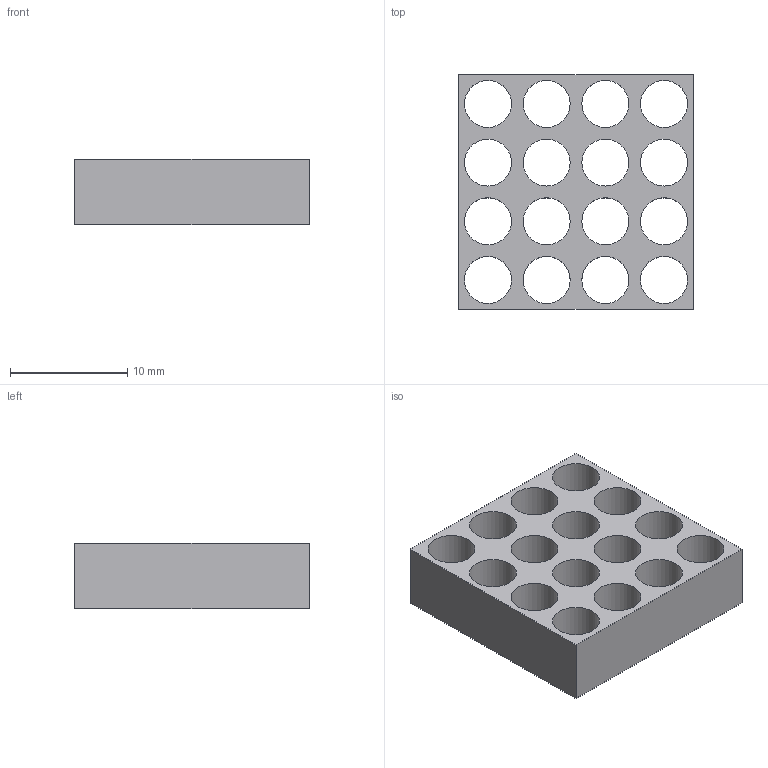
import cadquery as cq

holes_per_side = 4
hole_pitch = 5.0
hole_diameter = 4.0
block_height = 5.6

block_side = holes_per_side * hole_pitch


def make_block():
    """Square block centred on the origin."""
    return cq.Workplane("XY").box(block_side, block_side, block_height)


def cut_hole_grid(block):
    """Cut the square grid of through holes from the top face."""
    return (
        block.faces(">Z")
        .workplane()
        .rarray(hole_pitch, hole_pitch, holes_per_side, holes_per_side)
        .hole(hole_diameter)
    )


result = cut_hole_grid(make_block())